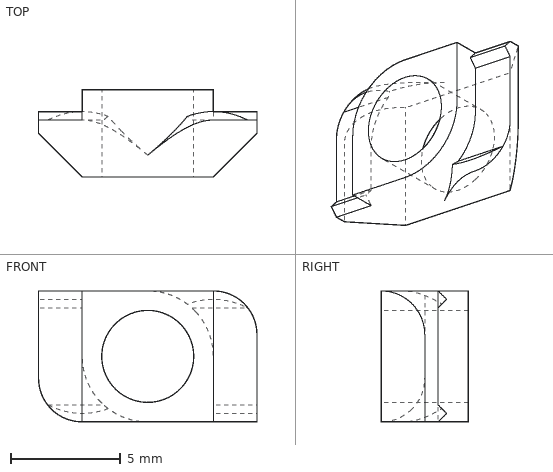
import cadquery as cq

length = 10.0
depth = 4.0
height = 6.0
wing = 2.0
boss_radius = 3.0
ridge_height = 0.39
ridge_tip = 3.0
hole_diameter = 4.2

half_length = length / 2
half_height = height / 2
boss_length = length - 2 * wing
floor = ridge_tip - ridge_height
corner_x = half_length - wing
corner_z = half_height - wing


def rounded_block(block_length, block_depth, radius):
    """Block with two diagonally opposite corners rounded about Y."""
    half = block_length / 2
    block = cq.Workplane("XY").box(block_length, block_depth, height, centered=(True, False, True))
    for side in (-1, 1):
        corner = (side * half, block_depth / 2, side * half_height)
        block = block.edges(cq.selectors.NearestToPointSelector(corner)).fillet(radius)
    return block


def turned(body):
    """The same body turned half a turn about the hole axis."""
    return body.rotate((0, 0, 0), (0, 1, 0), 180)


def beveled_envelope():
    """Full-height plate with 45 degree bevels at the front of both wings."""
    return (
        cq.Workplane("XY", origin=(0, 0, -half_height))
        .moveTo(-corner_x, 0)
        .lineTo(corner_x, 0)
        .lineTo(half_length, wing)
        .lineTo(half_length, ridge_tip)
        .lineTo(-half_length, ridge_tip)
        .lineTo(-half_length, wing)
        .close()
        .extrude(height)
    )


def ridge():
    """V-shaped ridge along the upper edge of the wing floor."""
    return (
        cq.Workplane("YZ", origin=(-half_length, 0, 0))
        .moveTo(0, half_height)
        .lineTo(floor, half_height)
        .lineTo(ridge_tip, half_height - ridge_height)
        .lineTo(floor, half_height - 2 * ridge_height)
        .lineTo(0, half_height - 2 * ridge_height)
        .close()
        .extrude(length)
    )


def conical_relief():
    """Waste outside a 45 degree cone that is concentric with the rounded wing corner."""
    cone_height = floor + wing
    cone = cq.Workplane("XY").add(
        cq.Solid.makeCone(
            cone_height, 0, cone_height, pnt=cq.Vector(corner_x, 0, corner_z), dir=cq.Vector(0, 1, 0)
        )
    )
    waste = (
        cq.Workplane("XY", origin=(0, 0, corner_z))
        .box(half_length, depth, wing, centered=False)
    )
    return waste.cut(cone)


plate = rounded_block(length, floor, wing)
upper_ridge = ridge().intersect(rounded_block(length, depth, wing))
plate = plate.union(upper_ridge).union(turned(upper_ridge))
plate = plate.intersect(beveled_envelope())

relief = conical_relief()
plate = plate.cut(relief).cut(turned(relief))

boss = rounded_block(boss_length, depth, boss_radius)
hole = cq.Workplane("XZ").circle(hole_diameter / 2).extrude(-depth)
result = plate.union(boss).cut(hole)